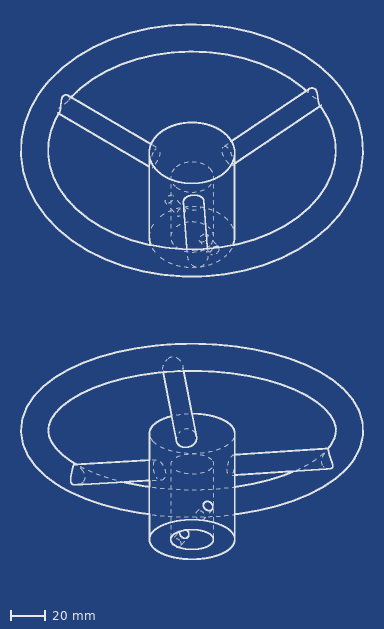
import cadquery as cq
import math

rim_outer_diameter = 200.0
rim_tube_diameter = 16.0
total_height = 80.0
rim_center_radius = (rim_outer_diameter - rim_tube_diameter) / 2
rim_center_height = total_height - rim_tube_diameter / 2

hub_diameter = 50.0
hub_height = 70.0
bore_diameter = 25.0
bore_depth = 50.0

pin_hole_diameter = 6.0
pin_hole_height = 10.0

spoke_count = 3
spoke_diameter = 12.0
spoke_rise_angle = math.radians(15)
first_spoke_direction = 90.0


def make_rim():
    return (
        cq.Workplane("XZ")
        .center(rim_center_radius, rim_center_height)
        .circle(rim_tube_diameter / 2)
        .revolve(360, (-rim_center_radius, 0), (-rim_center_radius, 1))
    )


def make_hub():
    return cq.Workplane("XY").circle(hub_diameter / 2).extrude(hub_height)


def make_spoke(direction):
    """Round bar from the hub axis to the rim tube, at an angle in degrees from +X."""
    axis_height = rim_center_height - rim_center_radius * math.tan(spoke_rise_angle)
    length = rim_center_radius / math.cos(spoke_rise_angle)
    spoke = cq.Solid.makeCylinder(
        spoke_diameter / 2,
        length,
        cq.Vector(0, 0, axis_height),
        cq.Vector(math.cos(spoke_rise_angle), 0, math.sin(spoke_rise_angle)),
    )
    return cq.Workplane("XY").add(spoke.rotate(cq.Vector(0, 0, 0), cq.Vector(0, 0, 1), direction))


def make_bore():
    return cq.Workplane("XY").circle(bore_diameter / 2).extrude(bore_depth)


def make_pin_hole():
    return (
        cq.Workplane("YZ")
        .center(0, pin_hole_height)
        .circle(pin_hole_diameter / 2)
        .extrude(hub_diameter, both=True)
    )


result = make_hub()
for index in range(spoke_count):
    result = result.union(make_spoke(first_spoke_direction + index * 360 / spoke_count))
result = result.union(make_rim()).cut(make_bore()).cut(make_pin_hole())